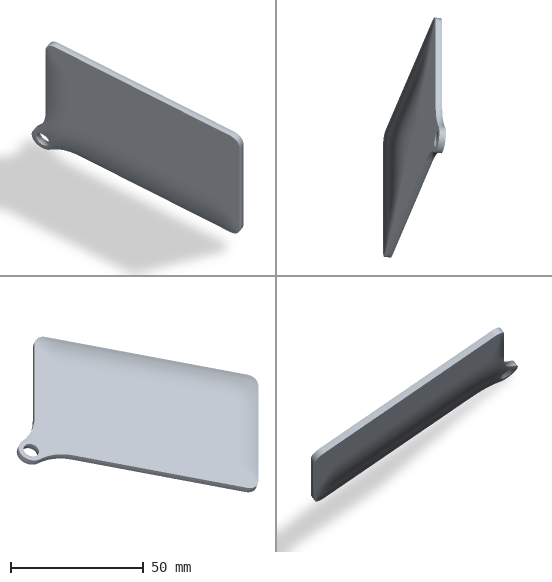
import cadquery as cq
import math

length = 93.9
height = 62.3
thickness = 2.5
front_thickness = 1.4
back_thickness = thickness - front_thickness

corner_radius = 4.2
eye_radius = 5.0
hole_diameter = 6.0
neck_radius = 20.0
eye_offset = 1.3

left = eye_offset
bottom = eye_offset
right = length - eye_radius
top = height - eye_radius

centre_distance = neck_radius + eye_radius
neck_across = neck_radius - eye_offset
neck_along = math.sqrt(centre_distance**2 - neck_across**2)
tangent_across = eye_radius * neck_across / centre_distance
tangent_along = eye_radius * neck_along / centre_distance
half_sweep = math.acos(neck_across / centre_distance) / 2
neck_mid_across = neck_radius * math.cos(half_sweep) - neck_across
neck_mid_along = neck_along - neck_radius * math.sin(half_sweep)
eye_far = -eye_radius / math.sqrt(2)


def card_layer(front_y, layer_thickness):
    """One layer of the card, extending in +Y from front_y."""
    return (
        cq.Workplane("XZ", origin=(0, front_y, 0))
        .moveTo(left, neck_along)
        .lineTo(left, top - corner_radius)
        .radiusArc((left + corner_radius, top), corner_radius)
        .lineTo(right - corner_radius, top)
        .radiusArc((right, top - corner_radius), corner_radius)
        .lineTo(right, bottom + corner_radius)
        .radiusArc((right - corner_radius, bottom), corner_radius)
        .lineTo(neck_along, bottom)
        .threePointArc((neck_mid_along, neck_mid_across), (tangent_along, -tangent_across))
        .threePointArc((eye_far, eye_far), (-tangent_across, tangent_along))
        .threePointArc((neck_mid_across, neck_mid_along), (left, neck_along))
        .close()
        .moveTo(0, 0)
        .circle(hole_diameter / 2)
        .extrude(-layer_thickness)
    )


front_layer = card_layer(0, front_thickness)
back_layer = card_layer(front_thickness, back_thickness)

result = cq.Compound.makeCompound([front_layer.val(), back_layer.val()])